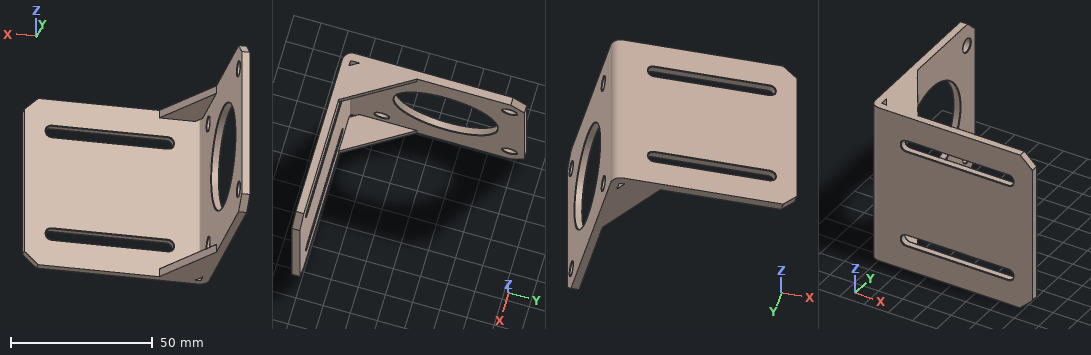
import cadquery as cq

wall_length = 67.0
height = 65.0
thickness = 3.0
bend_inner_radius = 0.55
bend_outer_radius = bend_inner_radius + thickness
corner_cut_length = 5.0
corner_cut_height = 4.75

slot_width = 4.35
slot_length = 46.35
slot_center_x = 36.0
slot_spacing = 40.05

motor_center_y = 38.0
pilot_diameter = 38.2
bolt_diameter = 5.2
bolt_spacing = 47.0

opening_chamfer = 0.3

gusset_leg_x = 15.0
gusset_leg_y = 24.45
gusset_thickness = thickness
relief_leg_x = 1.95
relief_leg_y = relief_leg_x * gusset_leg_y / gusset_leg_x

middle_z = height / 2


def bent_sheet():
    """L-shaped profile with concentric inner and outer bend radii."""
    profile = (
        cq.Workplane("XY")
        .moveTo(bend_outer_radius, 0)
        .lineTo(wall_length, 0)
        .lineTo(wall_length, thickness)
        .lineTo(bend_outer_radius, thickness)
        .radiusArc((thickness, bend_outer_radius), bend_inner_radius)
        .lineTo(thickness, wall_length)
        .lineTo(0, wall_length)
        .lineTo(0, bend_outer_radius)
        .radiusArc((bend_outer_radius, 0), -bend_outer_radius)
        .close()
    )
    return profile.extrude(height)


def clipped_wall_zone(plane, depth):
    """Block over one wall with the two corners farthest from the bend cut off."""
    outline = [
        (0, 0),
        (wall_length - corner_cut_length, 0),
        (wall_length, corner_cut_height),
        (wall_length, height - corner_cut_height),
        (wall_length - corner_cut_length, height),
        (0, height),
    ]
    return cq.Workplane(plane).polyline(outline).close().extrude(depth)


def gusset(base_z):
    """Triangular web between the walls, open at the inside of the bend."""
    web = [
        (thickness + relief_leg_x, thickness),
        (thickness + gusset_leg_x, thickness),
        (thickness, thickness + gusset_leg_y),
        (thickness, thickness + relief_leg_y),
    ]
    start = cq.Workplane("XY", origin=(0, 0, base_z))
    return start.polyline(web).close().extrude(gusset_thickness)


def slot_cutter(center_z):
    """Slot through the XZ wall, chamfered at both faces."""
    mouth_length = slot_length + 2 * opening_chamfer
    mouth_width = slot_width + 2 * opening_chamfer
    outer_face = cq.Workplane("XZ", origin=(slot_center_x, 0, center_z))
    inner_face = cq.Workplane("XZ", origin=(slot_center_x, thickness, center_z))
    through = outer_face.slot2D(slot_length, slot_width).extrude(-thickness)
    outer_mouth = outer_face.slot2D(mouth_length, mouth_width).extrude(-opening_chamfer, taper=45)
    inner_mouth = inner_face.slot2D(mouth_length, mouth_width).extrude(opening_chamfer, taper=45)
    return through.union(outer_mouth).union(inner_mouth)


def hole_cutter(center_y, center_z, diameter):
    """Round hole through the YZ wall, chamfered at both faces."""
    mouth_radius = diameter / 2 + opening_chamfer
    outer_face = cq.Workplane("YZ", origin=(0, center_y, center_z))
    inner_face = cq.Workplane("YZ", origin=(thickness, center_y, center_z))
    through = outer_face.circle(diameter / 2).extrude(thickness)
    outer_mouth = outer_face.circle(mouth_radius).extrude(opening_chamfer, taper=45)
    inner_mouth = inner_face.circle(mouth_radius).extrude(-opening_chamfer, taper=45)
    return through.union(outer_mouth).union(inner_mouth)


slot_wall_zone = clipped_wall_zone("XZ", -wall_length)
motor_wall_zone = clipped_wall_zone("YZ", wall_length)
result = bent_sheet().intersect(slot_wall_zone).intersect(motor_wall_zone)

for base_z in (0, height - gusset_thickness):
    result = result.union(gusset(base_z))

for side in (-1, 1):
    result = result.cut(slot_cutter(middle_z + side * slot_spacing / 2))

result = result.cut(hole_cutter(motor_center_y, middle_z, pilot_diameter))
for side_y in (-1, 1):
    for side_z in (-1, 1):
        bolt_y = motor_center_y + side_y * bolt_spacing / 2
        bolt_z = middle_z + side_z * bolt_spacing / 2
        result = result.cut(hole_cutter(bolt_y, bolt_z, bolt_diameter))